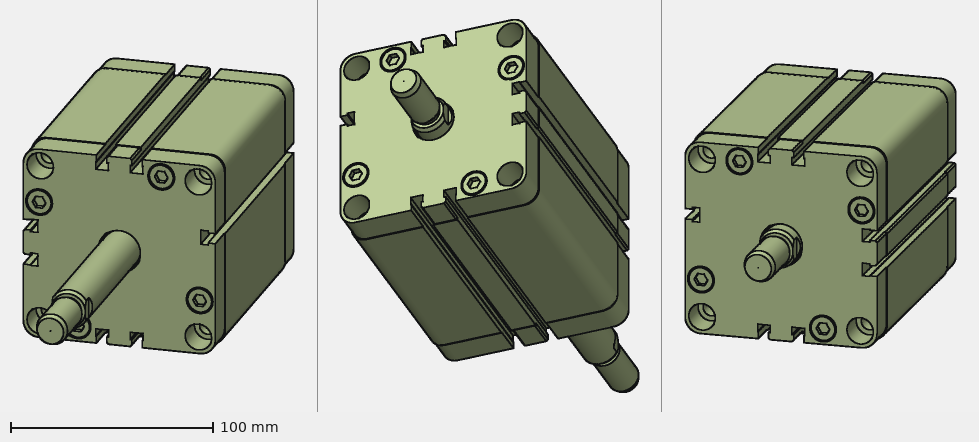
import cadquery as cq
import math


body_width = 100.0
plate_width = 99.2
corner_radius = 8.0
plate_thickness = 16.0
front_face_y = -28.0
rear_face_y = 108.3
front_plate_end_y = front_face_y + plate_thickness
rear_plate_end_y = rear_face_y - plate_thickness
housing_length = rear_face_y - front_face_y

slot_depth = 8.0
slot_lip = 4.0
pair_mouth_outer = 11.8
pair_channel_outer = 12.0
pair_mouth_inner = 6.5
pair_channel_inner = 5.5
strip_chamfer = 1.0
single_centre = 11.8
single_mouth = 5.3
single_channel = 7.5

mount_offset = 40.8
mount_diameter = 8.3
mount_counterbore = 13.5
mount_counterbore_depth = plate_thickness

screw_edge_offset = 41.5
screw_side_offset = 21.5
screw_seat_diameter = 13.5
screw_head_diameter = 12.5
screw_ring_depth = 0.5
socket_flats = 6.0
socket_depth = 3.0

total_length = 296.0
rod_diameter = 20.0
rod_bore_diameter = 22.0
rod_bore_depth = 3.0
stud_diameter = 16.0
neck_diameter = 13.5
stud_length = 28.0
stud_chamfer_length = 3.0
stud_tip_diameter = 13.5
neck_length = 3.3
neck_taper_length = 1.0
shoulder_diameter = 17.5
shoulder_chamfer_length = 2.0
flats_width = 17.2
flats_length = 6.5
flats_runout = 1.8


def block(x_min, x_max, z_min, z_max):
    """Full-length cutter covering the given X and Z ranges."""
    return cq.Workplane("XY").box(
        x_max - x_min, housing_length, z_max - z_min, centered=False
    ).translate((x_min, front_face_y, z_min))


def rounded_square(width, y_start, y_end):
    """Square bar along Y with rounded long edges."""
    return (
        cq.Workplane("XY")
        .box(width, y_end - y_start, width)
        .edges("|Y")
        .fillet(corner_radius)
        .translate((0, (y_start + y_end) / 2, 0))
    )


def cylinder(diameter, x, z, y_start, y_end):
    """Cylinder parallel to Y."""
    start = cq.Vector(x, y_start, z)
    return cq.Workplane(
        cq.Solid.makeCylinder(diameter / 2, y_end - y_start, start, cq.Vector(0, 1, 0))
    )


def slot(mouth_range, channel_range):
    """Cutter for a slot in the +Z side, given the X ranges of its mouth and channel."""
    top = body_width / 2
    mouth = block(*mouth_range, top - slot_depth, top)
    channel = block(*channel_range, top - slot_depth, top - slot_lip)
    return mouth.union(channel)


def turn(shape, angle):
    """Turn a shape about the cylinder axis."""
    return shape.rotate((0, 0, 0), (0, 1, 0), angle)


def make_slots():
    """Slot pairs in the +Z, -Z and -X sides and a single slot in the +X side."""
    right = slot(
        (pair_mouth_inner, pair_mouth_outer), (pair_channel_inner, pair_channel_outer)
    )
    pair = right.union(right.mirror("YZ"))
    slots = pair
    for angle in (180, -90):
        slots = slots.union(turn(pair, angle))
    single = slot(
        (-single_centre - single_mouth / 2, -single_centre + single_mouth / 2),
        (-single_centre - single_channel / 2, -single_centre + single_channel / 2),
    )
    return slots.union(turn(single, 90))


def make_mount_holes():
    """Through holes in the four corners, counterbored from both ends."""
    holes = cq.Workplane("XY")
    for x in (-mount_offset, mount_offset):
        for z in (-mount_offset, mount_offset):
            holes = holes.add(cylinder(mount_diameter, x, z, front_face_y, rear_face_y))
            front_floor = front_face_y + mount_counterbore_depth
            rear_floor = rear_face_y - mount_counterbore_depth
            holes = holes.add(cylinder(mount_counterbore, x, z, front_face_y, front_floor))
            holes = holes.add(cylinder(mount_counterbore, x, z, rear_floor, rear_face_y))
    return holes.combine()


def make_screw_recess(x, z, y_face, inward):
    """Clearance ring and hex socket of one screw, cut inward (+1 or -1 along Y) from a face."""
    low, high = sorted((y_face, y_face + inward * screw_ring_depth))
    ring = cylinder(screw_seat_diameter, x, z, low, high).cut(
        cylinder(screw_head_diameter, x, z, low, high)
    )
    low, high = sorted((y_face, y_face + inward * socket_depth))
    socket = (
        cq.Workplane("XZ", origin=(x, high, z))
        .polygon(6, socket_flats / math.cos(math.pi / 6))
        .extrude(high - low)
    )
    return ring.union(socket)


def make_screws():
    """Four screws per end plate, one beside each corner, in pinwheel order."""
    near, far = screw_side_offset, screw_edge_offset
    screws = cq.Workplane("XY")
    for x, z in ((near, far), (far, -near), (-near, -far), (-far, near)):
        screws = screws.add(make_screw_recess(x, z, front_face_y, 1))
        screws = screws.add(make_screw_recess(x, z, rear_face_y, -1))
    return screws.combine()


def strip_bevels(width, y_start, y_end):
    """Cutter for the two edges of the strip between a slot pair, in the +Z side."""
    top = width / 2
    bevel = (
        cq.Workplane("XZ", origin=(0, y_end, 0))
        .moveTo(pair_mouth_inner, top)
        .lineTo(pair_mouth_inner, top - strip_chamfer)
        .lineTo(pair_mouth_inner - strip_chamfer, top)
        .close()
        .extrude(y_end - y_start)
    )
    return bevel.union(bevel.mirror("YZ"))


def make_strip_bevels():
    """Strip bevels: on all three sides of the end plates, and on the -X side of the body."""
    bevels = turn(strip_bevels(body_width, front_plate_end_y, rear_plate_end_y), -90)
    for y_start, y_end in ((front_face_y, front_plate_end_y), (rear_plate_end_y, rear_face_y)):
        plate_bevels = strip_bevels(plate_width, y_start, y_end)
        for angle in (0, 180, -90):
            bevels = bevels.add(turn(plate_bevels, angle))
    return bevels.combine()


def make_housing():
    housing = (
        rounded_square(body_width, front_plate_end_y, rear_plate_end_y)
        .union(rounded_square(plate_width, front_face_y, front_plate_end_y))
        .union(rounded_square(plate_width, rear_plate_end_y, rear_face_y))
    )
    front_bore = cylinder(rod_bore_diameter, 0, 0, front_face_y, front_face_y + rod_bore_depth)
    rear_bore = cylinder(rod_bore_diameter, 0, 0, rear_face_y - rod_bore_depth, rear_face_y)
    return (
        housing.cut(make_slots())
        .cut(make_strip_bevels())
        .cut(make_mount_holes())
        .cut(make_screws())
        .cut(front_bore)
        .cut(rear_bore)
    )


def make_half_rod():
    """Rod from mid-length to its -Y end, with stud, neck and wrench flats."""
    tip_y = -total_length / 2
    stud_end_y = tip_y + stud_length
    shoulder_y = stud_end_y + neck_length
    rod = (
        cq.Workplane("XY")
        .moveTo(0, tip_y)
        .lineTo(stud_tip_diameter / 2, tip_y)
        .lineTo(stud_diameter / 2, tip_y + stud_chamfer_length)
        .lineTo(stud_diameter / 2, stud_end_y)
        .lineTo(neck_diameter / 2, stud_end_y + neck_taper_length)
        .lineTo(neck_diameter / 2, shoulder_y)
        .lineTo(shoulder_diameter / 2, shoulder_y)
        .lineTo(rod_diameter / 2, shoulder_y + shoulder_chamfer_length)
        .lineTo(rod_diameter / 2, 0)
        .close()
        .revolve(360, (0, 0, 0), (0, 1, 0))
    )
    flats_end_y = shoulder_y + flats_length
    half_flats = flats_width / 2
    flat = (
        cq.Workplane("XY")
        .moveTo(half_flats, shoulder_y)
        .lineTo(half_flats, flats_end_y)
        .lineTo(half_flats + flats_runout, flats_end_y + flats_runout)
        .lineTo(half_flats + flats_runout, shoulder_y)
        .close()
        .extrude(rod_diameter / 2, both=True)
    )
    return rod.cut(flat).cut(flat.mirror("YZ"))


half_rod = make_half_rod()
result = make_housing().union(half_rod).union(half_rod.mirror("XZ"))